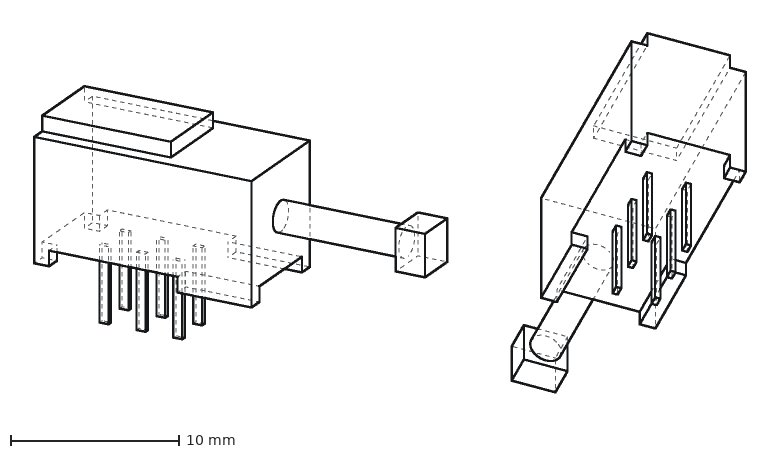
import cadquery as cq

total_length = 25.2
total_height = 13.1
body_length = 14.7
body_width = 7.3
step = 1.0
cap_length = 8.7
cap_width = 5.3
body_height = 8.11

rod_diameter = 2.0
rod_height = 4.55
knob_length = 2.0
knob_side = 2.8

pin_pitch = 2.5
pin_columns = 3
pin_rows = 2
first_pin_x = 3.5
pin_length_x = 0.6
pin_width_y = 0.33

pin_bottom = body_height + step - total_height
rod_length = total_length - knob_length - body_length
rod_embed = 0.25


def block(x_start, z_start, length, width, height, y_center=0):
    """Box placed by its low X and low Z faces and its Y centre."""
    return cq.Workplane("XY").box(length, width, height, centered=(False, True, False)).translate(
        (x_start, y_center, z_start)
    )


def make_housing():
    """Body with a raised cap and two crossing channels that leave four feet."""
    body = block(0, 0, body_length, body_width, body_height)
    cap = block(0, body_height, cap_length, cap_width, step)
    long_channel = block(0, 0, body_length, cap_width, step)
    cross_channel = block(step, 0, cap_length, body_width, step)
    return body.union(cap).cut(long_channel).cut(cross_channel)


def make_plunger():
    """Round rod with a square knob at its free end."""
    rod = (
        cq.Workplane("YZ", origin=(body_length - rod_embed, 0, rod_height))
        .circle(rod_diameter / 2)
        .extrude(rod_length + rod_embed)
    )
    knob = block(
        total_length - knob_length, rod_height - knob_side / 2, knob_length, knob_side, knob_side
    )
    return rod.union(knob)


def make_pin(x_center, y_center):
    """Flat terminal hanging from the underside of the housing."""
    return block(
        x_center - pin_length_x / 2, pin_bottom, pin_length_x, pin_width_y, step - pin_bottom, y_center
    )


result = make_housing().union(make_plunger())
for column in range(pin_columns):
    for row in range(pin_rows):
        pin_x = first_pin_x + column * pin_pitch
        pin_y = (row - (pin_rows - 1) / 2) * pin_pitch
        result = result.union(make_pin(pin_x, pin_y))